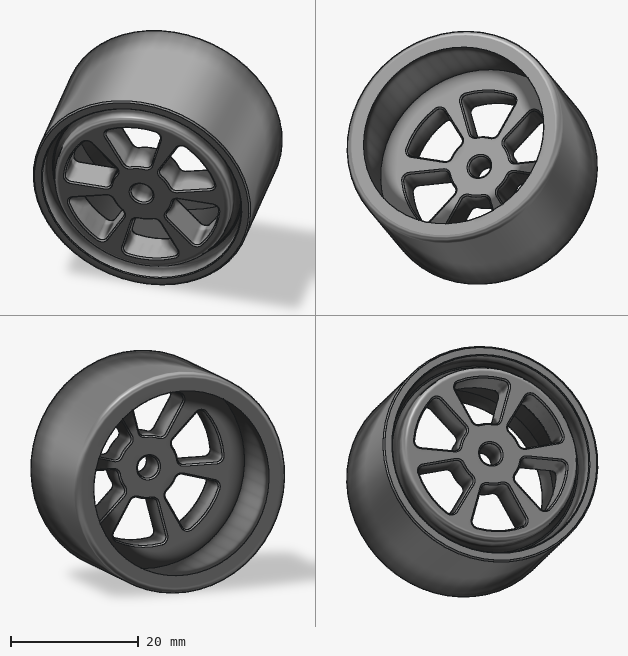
import cadquery as cq
import math

wheel_radius = 17.62
wheel_width = 20.0
edge_chamfer = 0.25
rear_edge_fillet = 1.0

rim_inner_radius = 16.1
rim_inner_chamfer = 0.15
disc_radius = 14.3
disc_edge_fillet = 0.88
groove_depth = 3.52
groove_floor_inner_radius = 15.15
groove_floor_width = 0.25
groove_blend_radius = 0.7

disc_thickness = 5.75
cavity_radius = rim_inner_radius
rear_lip_height = 1.4
axle_radius = 1.75
opening_chamfer = 0.25

window_count = 6
window_pitch = 360 / window_count
window_start = 15.0
window_sweep = 45.0
window_inner_radius = 5.05
window_outer_radius = 12.48
window_corner_fillet = 1.0


def revolve_about_axle(profile):
    """Revolve a half profile (Z = radius, Y = depth) around the wheel axis."""
    return profile.close().revolve(360, (0, 0, 0), (0, 1, 0))


def make_blank():
    """Solid wheel with a chamfered front edge and a rounded rear edge."""
    blank = revolve_about_axle(
        cq.Workplane("ZY").lineTo(wheel_radius, 0).lineTo(wheel_radius, wheel_width).lineTo(0, wheel_width)
    )
    blank = blank.faces(">Y").edges().fillet(rear_edge_fillet)
    return blank.faces("<Y").edges().chamfer(edge_chamfer)


def make_groove():
    """Ring groove whose straight walls blend into 45 degree slopes down to a narrow floor."""
    floor_outer_radius = groove_floor_inner_radius + groove_floor_width
    blend_width = groove_blend_radius * (1 - math.cos(math.pi / 4))
    blend_height = groove_blend_radius * math.sin(math.pi / 4)
    disc_slope_radius = disc_radius + blend_width
    disc_slope_depth = groove_depth - (groove_floor_inner_radius - disc_slope_radius)
    rim_slope_radius = rim_inner_radius - blend_width
    rim_slope_depth = groove_depth - (rim_slope_radius - floor_outer_radius)
    return revolve_about_axle(
        cq.Workplane("ZY")
        .moveTo(disc_radius, 0)
        .lineTo(disc_radius, disc_slope_depth - blend_height)
        .tangentArcPoint((disc_slope_radius, disc_slope_depth), relative=False)
        .lineTo(groove_floor_inner_radius, groove_depth)
        .lineTo(floor_outer_radius, groove_depth)
        .lineTo(rim_slope_radius, rim_slope_depth)
        .tangentArcPoint((rim_inner_radius, rim_slope_depth - blend_height), relative=False)
        .lineTo(rim_inner_radius, rim_inner_chamfer)
        .lineTo(rim_inner_radius + rim_inner_chamfer, 0)
    )


def make_cavity():
    """Round pocket behind the spoked disc, narrowed by a 45 degree lip at the rear face."""
    return revolve_about_axle(
        cq.Workplane("ZY")
        .moveTo(0, disc_thickness)
        .lineTo(cavity_radius, disc_thickness)
        .lineTo(cavity_radius, wheel_width - rear_lip_height)
        .lineTo(cavity_radius - rear_lip_height, wheel_width)
        .lineTo(0, wheel_width)
    )


def polar(radius, angle):
    """Point in the XZ plane at the given radius and angle in degrees."""
    return (radius * math.cos(math.radians(angle)), radius * math.sin(math.radians(angle)))


def make_window(start):
    """Sector-shaped cutter with rounded corners."""
    middle = start + window_sweep / 2
    end = start + window_sweep
    window = (
        cq.Workplane("XZ")
        .moveTo(*polar(window_inner_radius, start))
        .lineTo(*polar(window_outer_radius, start))
        .threePointArc(polar(window_outer_radius, middle), polar(window_outer_radius, end))
        .lineTo(*polar(window_inner_radius, end))
        .threePointArc(polar(window_inner_radius, middle), polar(window_inner_radius, start))
        .close()
        .extrude(-wheel_width)
    )
    return window.edges("|Y").fillet(window_corner_fillet)


wheel = make_blank().cut(make_groove()).cut(make_cavity())
disc_rim = cq.selectors.RadiusNthSelector(0)
wheel = wheel.faces("<Y").edges(disc_rim).fillet(disc_edge_fillet)

wheel = wheel.cut(cq.Workplane("XZ").circle(axle_radius).extrude(-wheel_width))
for index in range(window_count):
    wheel = wheel.cut(make_window(window_start + index * window_pitch))

disc_front = min(wheel.faces("<Y").vals(), key=lambda face: face.BoundingBox().xlen)
disc_rear = wheel.faces(cq.selectors.NearestToPointSelector((0, disc_thickness, 0))).val()
for disc_face in (disc_front, disc_rear):
    opening_edges = [edge for wire in disc_face.innerWires() for edge in wire.Edges()]
    wheel = wheel.newObject(opening_edges).chamfer(opening_chamfer)

result = wheel